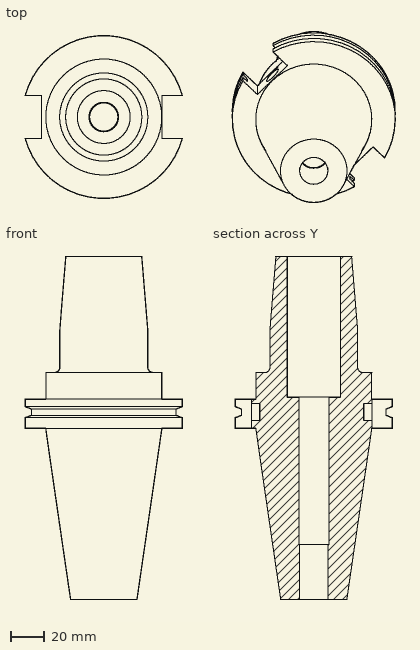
import cadquery as cq

total_height = 206.5
taper_top = 102.0
flange_bottom = 103.0
flange_top = 120.7
collar_top = 136.8
nose_base = 162.4

taper_end_radius = 20.0
collar_radius = 35.0
flange_radius = 98.1 / 2
neck_radius = 53.0 / 2
nose_tip_radius = 23.0
neck_fillet = 3.0

groove_floor_radius = 45.5
groove_bottom = 109.5
groove_top = 116.1
groove_flank_height = 1.5

tool_bore_radius = 16.0
tool_bore_depth = 84.7
passage_radius = 8.9
drawbar_bore_radius = 8.5
drawbar_bore_depth = 33.0

slot_width = 25.6
left_slot_floor_distance = 37.5
right_slot_floor_distance = 35.1
slot_hole_diameter = 10.0
slot_hole_depth = 5.0
slot_hole_height = flange_top - 7.9


def make_body():
    """Revolve the outer profile: taper, grooved flange, collar, neck and nose."""
    return (
        cq.Workplane("XZ")
        .lineTo(taper_end_radius, 0)
        .lineTo(collar_radius, taper_top)
        .lineTo(collar_radius, flange_bottom)
        .lineTo(flange_radius, flange_bottom)
        .lineTo(flange_radius, groove_bottom)
        .lineTo(groove_floor_radius, groove_bottom + groove_flank_height)
        .lineTo(groove_floor_radius, groove_top - groove_flank_height)
        .lineTo(flange_radius, groove_top)
        .lineTo(flange_radius, flange_top)
        .lineTo(collar_radius, flange_top)
        .lineTo(collar_radius, collar_top)
        .lineTo(neck_radius + neck_fillet, collar_top)
        .radiusArc((neck_radius, collar_top + neck_fillet), neck_fillet)
        .lineTo(neck_radius, nose_base)
        .lineTo(nose_tip_radius, total_height)
        .lineTo(0, total_height)
        .close()
        .revolve(360, (0, 0, 0), (0, 1, 0))
    )


def make_bore():
    """Tool bore at the top, a narrower passage, and the narrowest bore at the bottom."""
    profile = (
        cq.Workplane("XZ")
        .lineTo(drawbar_bore_radius, 0)
        .lineTo(drawbar_bore_radius, drawbar_bore_depth)
        .lineTo(passage_radius, drawbar_bore_depth)
        .lineTo(passage_radius, total_height - tool_bore_depth)
        .lineTo(tool_bore_radius, total_height - tool_bore_depth)
        .lineTo(tool_bore_radius, total_height)
        .lineTo(0, total_height)
        .close()
    )
    return profile.revolve(360, (0, 0, 0), (0, 1, 0))


def make_drive_slot(side, slot_floor_distance):
    """Slot across the flange on one X side (+1 or -1), with a blind hole in its floor."""
    slot_depth = flange_radius - slot_floor_distance
    slot = cq.Workplane("XY").box(
        slot_depth, slot_width, flange_top - flange_bottom, centered=(True, True, False)
    ).translate((side * (slot_floor_distance + slot_depth / 2), 0, flange_bottom))
    hole = (
        cq.Workplane("YZ", origin=(side * slot_floor_distance, 0, 0))
        .center(0, slot_hole_height)
        .circle(slot_hole_diameter / 2)
        .extrude(-side * slot_hole_depth)
    )
    return slot.union(hole)


result = (
    make_body()
    .cut(make_bore())
    .cut(make_drive_slot(-1, left_slot_floor_distance))
    .cut(make_drive_slot(1, right_slot_floor_distance))
)